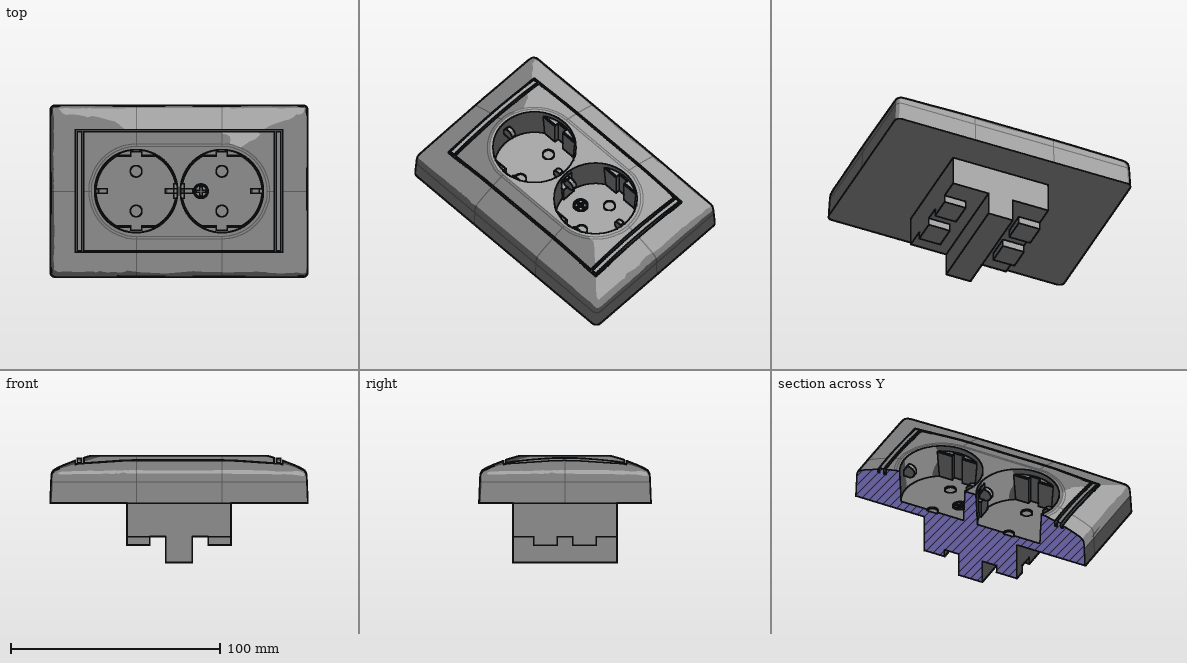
import math

import cadquery as cq

SOCKET_PITCH = 41.0
HALF_PITCH = SOCKET_PITCH / 2
FRAME_WIDTH = 82.37
TOTAL_HEIGHT = 51.2
TOP_Z = 22.75
BOTTOM_Z = TOP_Z - TOTAL_HEIGHT

CORNER_RADIUS = 2.7
SHOULDER_Z = 10.3
SHOULDER_HALF = 40.75
RIM_HALF = 22.7
DOME_TOP_Z = 22.5
FLAT_HALF = 21.5
DOME_PROFILE = [
    (SHOULDER_Z, SHOULDER_HALF),
    (12.4, 40.65),
    (14.0, 40.45),
    (15.5, 39.7),
    (16.6, 38.2),
    (18.0, 35.3),
    (19.3, 32.0),
    (20.6, 28.7),
    (21.6, 25.6),
    (DOME_TOP_Z, RIM_HALF),
]
HALF_CORNER_ANGLES = [0, 15, 28, 36, 40, 42, 43, 44]
CORNER_ANGLES = HALF_CORNER_ANGLES + [45] + [90 - a for a in reversed(HALF_CORNER_ANGLES)]

OPENING_X = 99.2
OPENING_Y = 58.6
GROOVE_WIDTH = 0.85
GROOVE_FLOOR_Z = 18.4
PANEL_X = 90.9
PANEL_Y = OPENING_Y - 2 * GROOVE_WIDTH
STRIP_WIDTH = 2.2
STRIP_X = OPENING_X / 2 - GROOVE_WIDTH - STRIP_WIDTH / 2
STRIP_MID_Z = 21.6
STRIP_END_Z = 19.4

SOCKET_RIM_RADIUS = 19.9
SOCKET_FLOOR_RADIUS = 19.2
SOCKET_DEPTH = 17.5
FLOOR_Z = TOP_Z - SOCKET_DEPTH
RIB_FACE_Y = 16.65
RIB_GAP = 5.3
RIB_TOP_Z = 19.8
RIB_CHAMFER = 0.5
RIB_GAP_BACK_Y = 18.8
PIN_DIAMETER = 5.5
PIN_SPACING = 19.0
PIN_RECESS_DEPTH = 0.8

CONTACT_WIDTH = 2.2
CONTACT_TIP = 13.9
CONTACT_BACK = 17.9
CONTACT_TOP_Z = 20.0
CONTACT_LOW_Z = 13.9
CONTACT_FALL = 3.5
PAD_WIDTH = 7.0
PAD_TOP_Z = 14.0
WINDOW_TOP_Z = 20.0

SCREW_OFFSET = 10.0
SCREW_X = HALF_PITCH - SCREW_OFFSET
SCREW_HOLE_DIAMETER = 6.9
SCREW_HEAD_DIAMETER = 5.7
SCREW_HOLE_DEPTH = 1.5
CROSS_LENGTH = 4.4
CROSS_WIDTH = 1.1
CROSS_DEPTH = 1.2

BODY_SIZE = 49.8
BODY_BOTTOM_Z = -16.0
FOOT_X = 11.0
FOOT_Y = 11.3
FOOT_CENTRE_Y = 9.3
FOOT_HEIGHT = 4.0
KEEL_WIDTH = 12.7


def block(size_x, size_y, z_low, z_high, x=0.0, y=0.0):
    """Upright block centred on (x, y) between two heights."""
    return cq.Workplane("XY", origin=(x, y, z_low)).rect(size_x, size_y).extrude(z_high - z_low)


def rounded_square_reach(angle, half_width, radius):
    """Distance from the centre of a rounded square to its outline in one direction."""
    cos_a = math.cos(angle)
    sin_a = math.sin(angle)
    centre = half_width - radius
    straight = half_width / max(cos_a, sin_a)
    if straight * min(cos_a, sin_a) <= centre:
        return straight
    offset = centre * (cos_a - sin_a)
    return centre * (cos_a + sin_a) + math.sqrt(radius**2 - offset**2)


def quarter_points(half_width):
    """Points of one corner, from the +X axis to the +Y axis."""
    squareness = (half_width - RIM_HALF) / (SHOULDER_HALF - RIM_HALF)
    squareness = min(max(squareness, 0.0), 1.0)
    points = []
    for degrees in CORNER_ANGLES:
        angle = math.radians(degrees)
        square = rounded_square_reach(angle, SHOULDER_HALF, CORNER_RADIUS) / SHOULDER_HALF
        reach = half_width * ((1 - squareness) + squareness * square)
        points.append((reach * math.cos(angle), reach * math.sin(angle)))
    return points


def section_wire(height, half_width):
    """Closed outline: four corner curves joined by two straight middle sides."""
    quarter = quarter_points(half_width)

    def corner(sign_x, sign_y):
        points = [cq.Vector(sign_x * (HALF_PITCH + x), sign_y * y, height) for x, y in quarter]
        tangents = [cq.Vector(0, sign_y, 0), cq.Vector(-sign_x, 0, 0)]
        if sign_x != sign_y:
            points.reverse()
            tangents = [tangent * -1 for tangent in reversed(tangents)]
        return cq.Edge.makeSpline(points, tangents=tangents, parameters=CORNER_ANGLES)

    def side(sign_y):
        start = cq.Vector(sign_y * HALF_PITCH, sign_y * half_width, height)
        end = cq.Vector(-sign_y * HALF_PITCH, sign_y * half_width, height)
        return cq.Edge.makeLine(start, end)

    return cq.Wire.assembleEdges(
        [corner(1, 1), side(1), corner(-1, 1), corner(-1, -1), side(-1), corner(1, -1)]
    )


def loft(profile, ruled):
    """Solid through the sections of a (height, half width) profile."""
    wires = [section_wire(height, half_width) for height, half_width in profile]
    solid = cq.occ_impl.shapes.loft(*wires, cap=True, ruled=ruled, parametrization="chordal")
    return cq.Workplane(solid)


def make_cover():
    """Drafted skirt, domed top and the narrow sloping rim around the flat."""
    skirt = loft([(0.0, FRAME_WIDTH / 2), (SHOULDER_Z, SHOULDER_HALF)], True)
    dome = loft(DOME_PROFILE, False)
    rim = loft([(DOME_TOP_Z, RIM_HALF), (TOP_Z, FLAT_HALF)], True)
    return skirt.union(dome).union(rim)


def make_opening_cut():
    """Everything between the frame opening and the centre panel, down to the groove floor."""
    opening = block(OPENING_X, OPENING_Y, GROOVE_FLOOR_Z, TOP_Z)
    return opening.cut(block(PANEL_X, PANEL_Y, GROOVE_FLOOR_Z, TOP_Z))


def make_strip(side):
    """Narrow strip beside the panel; its top is an arc along Y."""
    half = PANEL_Y / 2
    return (
        cq.Workplane("YZ", origin=(side * STRIP_X - STRIP_WIDTH / 2, 0, 0))
        .moveTo(-half, GROOVE_FLOOR_Z)
        .lineTo(-half, STRIP_END_Z)
        .threePointArc((0, STRIP_MID_Z), (half, STRIP_END_Z))
        .lineTo(half, GROOVE_FLOOR_Z)
        .close()
        .extrude(STRIP_WIDTH)
    )


def make_socket_cone(x):
    """Slightly tapered socket well."""
    return (
        cq.Workplane("XY", origin=(x, 0, FLOOR_Z))
        .circle(SOCKET_FLOOR_RADIUS)
        .workplane(offset=SOCKET_DEPTH)
        .circle(SOCKET_RIM_RADIUS)
        .loft()
    )


def make_ribs(x, well):
    """Guide ribs on the +Y and -Y walls, notched by a central gap."""
    profile = [
        (RIB_FACE_Y, FLOOR_Z),
        (SOCKET_RIM_RADIUS, FLOOR_Z),
        (SOCKET_RIM_RADIUS, RIB_TOP_Z),
        (RIB_FACE_Y + RIB_CHAMFER, RIB_TOP_Z),
        (RIB_FACE_Y, RIB_TOP_Z - RIB_CHAMFER),
    ]
    rib = (
        cq.Workplane("YZ", origin=(x, 0, 0)).polyline(profile).close()
        .extrude(SOCKET_RIM_RADIUS, both=True)
    )
    ribs = rib.union(rib.mirror("XZ"))
    gap = block(RIB_GAP, 2 * RIB_GAP_BACK_Y, FLOOR_Z, TOP_Z, x)
    return ribs.cut(gap).intersect(well)


def make_contact(x, side):
    """Earth contact with a rounded nose, standing off the wall on one side of a socket."""
    middle_z = (CONTACT_TOP_Z + CONTACT_LOW_Z) / 2
    return (
        cq.Workplane("XZ", origin=(x, 0, 0))
        .moveTo(side * SOCKET_RIM_RADIUS, CONTACT_LOW_Z)
        .lineTo(side * CONTACT_BACK, CONTACT_LOW_Z)
        .threePointArc((side * CONTACT_TIP, middle_z), (side * CONTACT_BACK, CONTACT_TOP_Z))
        .lineTo(side * SOCKET_RIM_RADIUS, CONTACT_TOP_Z - CONTACT_FALL)
        .close()
        .extrude(CONTACT_WIDTH / 2, both=True)
    )


def make_pad(x, side):
    """Flat pad below the contact on the wall shared by the two sockets."""
    depth = SOCKET_RIM_RADIUS - CONTACT_BACK
    return block(depth, PAD_WIDTH, FLOOR_Z, PAD_TOP_Z, x + side * (CONTACT_BACK + depth / 2))


def make_window():
    """Opening above the pads, through the wall shared by the two sockets."""
    return block(2 * (HALF_PITCH - CONTACT_BACK), PAD_WIDTH, PAD_TOP_Z, WINDOW_TOP_Z)


def make_pin_recesses(x):
    return (
        cq.Workplane("XY", origin=(x, 0, FLOOR_Z))
        .pushPoints([(0, PIN_SPACING / 2), (0, -PIN_SPACING / 2)])
        .circle(PIN_DIAMETER / 2)
        .extrude(-PIN_RECESS_DEPTH)
    )


def make_screw_cut():
    """Ring gap around the screw head together with its cross recess."""
    ring = (
        cq.Workplane("XY", origin=(SCREW_X, 0, FLOOR_Z))
        .circle(SCREW_HOLE_DIAMETER / 2)
        .circle(SCREW_HEAD_DIAMETER / 2)
        .extrude(-SCREW_HOLE_DEPTH)
    )
    slot_x = block(CROSS_LENGTH, CROSS_WIDTH, FLOOR_Z - CROSS_DEPTH, FLOOR_Z, SCREW_X)
    slot_y = block(CROSS_WIDTH, CROSS_LENGTH, FLOOR_Z - CROSS_DEPTH, FLOOR_Z, SCREW_X)
    return ring.union(slot_x).union(slot_y)


def make_rear_body():
    """Rear block with a full-length keel and four feet."""
    body = block(BODY_SIZE, BODY_SIZE, BODY_BOTTOM_Z, 0)
    body = body.union(block(KEEL_WIDTH, BODY_SIZE, BOTTOM_Z, BODY_BOTTOM_Z))
    foot_x = (BODY_SIZE - FOOT_X) / 2
    for sign_x in (-1, 1):
        for sign_y in (-1, 1):
            foot = block(
                FOOT_X, FOOT_Y, BODY_BOTTOM_Z - FOOT_HEIGHT, BODY_BOTTOM_Z,
                sign_x * foot_x, sign_y * FOOT_CENTRE_Y,
            )
            body = body.union(foot)
    return body


part = make_cover().cut(make_opening_cut())
for side in (-1, 1):
    part = part.union(make_strip(side))

for side in (-1, 1):
    socket_x = side * HALF_PITCH
    well = make_socket_cone(socket_x)
    part = part.cut(well).union(make_ribs(socket_x, well))
    part = part.cut(make_pin_recesses(socket_x))
    part = part.union(make_pad(socket_x, -side).intersect(well))

part = part.cut(make_window())
for side in (-1, 1):
    for contact_side in (-1, 1):
        part = part.union(make_contact(side * HALF_PITCH, contact_side))

part = part.cut(make_screw_cut()).union(make_rear_body())
result = part.val()